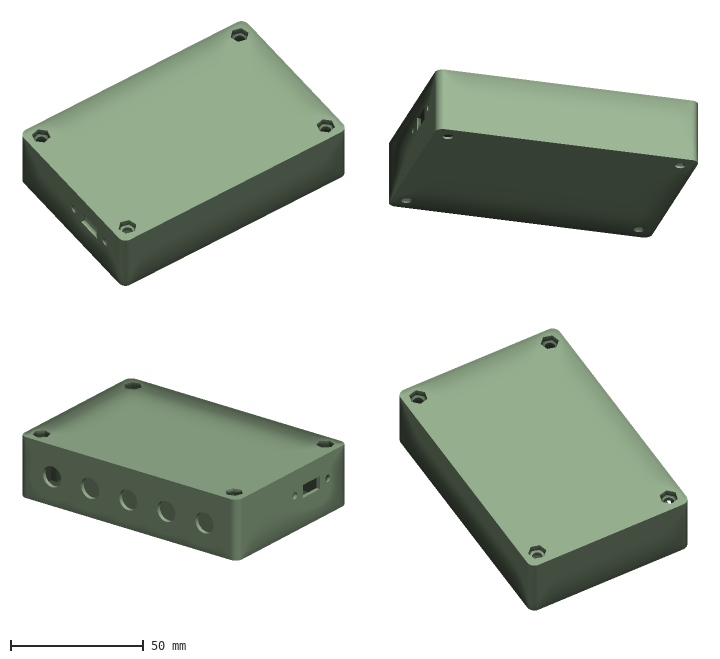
import cadquery as cq

CASE_WIDTH = 68.9
CASE_LENGTH = 103.0
CASE_HEIGHT = 25.0
CORNER_RADIUS = 3.1
WALL = 1.6
FLOOR = 0.8
INNER_WIDTH = CASE_WIDTH - 2 * WALL
INNER_LENGTH = CASE_LENGTH - 2 * WALL
INNER_CORNER_CHAMFER = 1.9

LID_THICKNESS = 4.0
LID_BOTTOM = CASE_HEIGHT - LID_THICKNESS

SCREW_DIAMETER = 4.0
SCREW_INSET = 6.0
SCREW_X = CASE_WIDTH / 2 - SCREW_INSET
SCREW_Y = CASE_LENGTH / 2 - SCREW_INSET
NUT_SIDES = 6
NUT_ACROSS_CORNERS = 7.1
NUT_DEPTH = 2.5
NUT_TURN = 15

JACK_COUNT = 5
JACK_DIAMETER = 8.5
JACK_PITCH = 18.0
JACK_HEIGHT = 11.9

CONNECTOR_X = 11.8
CONNECTOR_Z = 14.7
CONNECTOR_WIDTH = 10.5
CONNECTOR_HEIGHT = 5.4
CONNECTOR_SCREW_DIAMETER = 3.0
CONNECTOR_SCREW_PITCH = 20.5

LEDGE_WIDTH = 37.1
LEDGE_SUPPORT_WIDTH = 33.6
LEDGE_BASE_HEIGHT = 13.5
LEDGE_DEPTH = 2.6


def opening_block(bottom, height):
    """Block that fills the case opening from `bottom` upward."""
    return (
        cq.Workplane("XY")
        .workplane(offset=bottom)
        .rect(INNER_WIDTH, INNER_LENGTH)
        .extrude(height)
        .edges("|Z")
        .chamfer(INNER_CORNER_CHAMFER)
    )


def screw_holes(height):
    """Four upright cylinders on the corner screw axes."""
    return (
        cq.Workplane("XY")
        .rect(2 * SCREW_X, 2 * SCREW_Y, forConstruction=True)
        .vertices()
        .circle(SCREW_DIAMETER / 2)
        .extrude(height)
    )


def nut_recess(side_x, side_y):
    """Hexagonal recess in one corner; the hexagons mirror each other about both axes."""
    return (
        cq.Workplane("XY")
        .polygon(NUT_SIDES, NUT_ACROSS_CORNERS)
        .extrude(NUT_DEPTH)
        .rotate((0, 0, 0), (0, 0, 1), -side_x * side_y * NUT_TURN)
        .translate((side_x * SCREW_X, side_y * SCREW_Y, CASE_HEIGHT - NUT_DEPTH))
    )


def jack_holes():
    first_y = -(JACK_COUNT - 1) / 2 * JACK_PITCH
    centers = [(first_y + i * JACK_PITCH, JACK_HEIGHT) for i in range(JACK_COUNT)]
    return (
        cq.Workplane("YZ")
        .workplane(offset=-CASE_WIDTH / 2)
        .pushPoints(centers)
        .circle(JACK_DIAMETER / 2)
        .extrude(WALL)
    )


def connector_opening():
    """Rectangular slot with a screw hole on each side."""
    wall_face = cq.Workplane("XZ", origin=(CONNECTOR_X, -CASE_LENGTH / 2, CONNECTOR_Z))
    slot = wall_face.rect(CONNECTOR_WIDTH, CONNECTOR_HEIGHT).extrude(-WALL)
    half_pitch = CONNECTOR_SCREW_PITCH / 2
    screws = (
        wall_face.pushPoints([(-half_pitch, 0), (half_pitch, 0)])
        .circle(CONNECTOR_SCREW_DIAMETER / 2)
        .extrude(-WALL)
    )
    return slot.union(screws)


def wall_ledge():
    """Ledge with a 45 degree top, standing on a narrower support."""
    wall_y = INNER_LENGTH / 2
    front_y = wall_y - LEDGE_DEPTH
    ledge = (
        cq.Workplane("YZ")
        .moveTo(wall_y, LEDGE_BASE_HEIGHT)
        .lineTo(wall_y, LEDGE_BASE_HEIGHT + LEDGE_DEPTH)
        .lineTo(front_y, LEDGE_BASE_HEIGHT)
        .close()
        .extrude(LEDGE_WIDTH / 2, both=True)
    )
    support = (
        cq.Workplane("XY")
        .workplane(offset=FLOOR)
        .center(0, wall_y - LEDGE_DEPTH / 2)
        .rect(LEDGE_SUPPORT_WIDTH, LEDGE_DEPTH)
        .extrude(LEDGE_BASE_HEIGHT - FLOOR)
    )
    return ledge.union(support)


def make_case():
    outer = (
        cq.Workplane("XY")
        .rect(CASE_WIDTH, CASE_LENGTH)
        .extrude(CASE_HEIGHT)
        .edges("|Z")
        .fillet(CORNER_RADIUS)
    )
    return (
        outer.cut(opening_block(FLOOR, CASE_HEIGHT - FLOOR))
        .union(wall_ledge())
        .cut(screw_holes(FLOOR))
        .cut(jack_holes())
        .cut(connector_opening())
    )


def make_lid():
    lid = opening_block(LID_BOTTOM, LID_THICKNESS).cut(screw_holes(CASE_HEIGHT))
    for side_x in (-1, 1):
        for side_y in (-1, 1):
            lid = lid.cut(nut_recess(side_x, side_y))
    return lid


case = make_case()
lid = make_lid()
result = cq.Compound.makeCompound([case.val(), lid.val()])